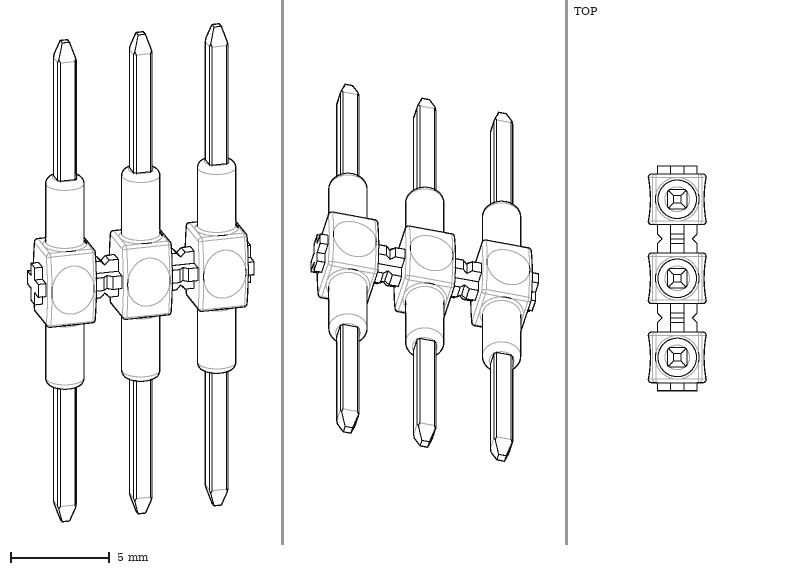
import cadquery as cq
import math

pin_count = 3
pitch = 4.0
strip_length = 11.4

pin_length = 26.0
pin_side = 1.0
pin_corner_diameter = 1.25
pin_tip_length = 0.95
pin_tip_side = 0.4

block_length = 2.57
block_height = 4.0
block_end_width = 2.45
block_width = 2.95
block_fillet = 0.18

scoop_half_width = 1.12
scoop_half_height = 1.3

barrel_diameter = 1.95
barrel_length = 11.25
barrel_end_fillet = (barrel_diameter - pin_corner_diameter) / 2
barrel_root_fillet = 0.13

cross_span = 2.0
cross_thickness = 0.7
notch_width = 0.47
notch_depth = 0.23

pin_places = [(i - (pin_count - 1) / 2) * pitch for i in range(pin_count)]
notch_places = [(a + b) / 2 for a, b in zip(pin_places, pin_places[1:])]


def arc_radius(half_chord, rise):
    """Radius of the arc with this half chord and rise."""
    return (half_chord**2 + rise**2) / (2 * rise)


def make_pin():
    """Pin centred on the Z axis, tapered at both ends."""
    shank_length = pin_length - 2 * pin_tip_length
    square_pin = cq.Workplane("XY").box(pin_side, pin_side, shank_length)
    for direction in (1, -1):
        tip = (
            cq.Workplane("XY", origin=(0, 0, direction * shank_length / 2))
            .rect(pin_side, pin_side)
            .workplane(offset=direction * pin_tip_length)
            .rect(pin_tip_side, pin_tip_side)
            .loft(ruled=True)
        )
        square_pin = square_pin.union(tip)
    round_bar = cq.Workplane("XY").cylinder(pin_length, pin_corner_diameter / 2)
    return square_pin.intersect(round_bar)


def make_block():
    """Block with rounded edges, bulged and scooped on its -X and +X faces."""
    half_height = block_height / 2
    end_x = block_end_width / 2
    middle_x = block_width / 2
    block = (
        cq.Workplane("XZ", origin=(0, block_length / 2, 0))
        .moveTo(-end_x, half_height)
        .lineTo(end_x, half_height)
        .threePointArc((middle_x, 0), (end_x, -half_height))
        .lineTo(-end_x, -half_height)
        .threePointArc((-middle_x, 0), (-end_x, half_height))
        .close()
        .extrude(block_length)
        .edges()
        .fillet(block_fillet)
    )
    bulge_radius = arc_radius(half_height, middle_x - end_x)
    scoop_depth = bulge_radius - math.sqrt(bulge_radius**2 - scoop_half_height**2)
    scoop_radius = arc_radius(scoop_half_width, scoop_depth)
    scoop_x = middle_x - scoop_depth + scoop_radius
    scoops = (
        cq.Workplane("XY")
        .pushPoints([(-scoop_x, 0), (scoop_x, 0)])
        .circle(scoop_radius)
        .extrude(half_height, both=True)
    )
    return block.cut(scoops)


def make_barrel():
    """Barrel through the block, rounded at its ends and flared where it leaves the block."""
    radius = barrel_diameter / 2
    half_length = barrel_length / 2
    root_z = block_height / 2
    root = barrel_root_fillet
    end = barrel_end_fillet
    middle = 1 - math.sqrt(0.5)
    upper_half = (
        cq.Workplane("XZ")
        .lineTo(radius + root, 0)
        .lineTo(radius + root, root_z)
        .threePointArc(
            (radius + root * middle, root_z + root * middle),
            (radius, root_z + root),
        )
        .lineTo(radius, half_length - end)
        .threePointArc(
            (radius - end * middle, half_length - end * middle),
            (radius - end, half_length),
        )
        .lineTo(0, half_length)
        .close()
        .revolve(360, (0, 0, 0), (0, 1, 0))
    )
    return upper_half.union(upper_half.mirror("XY"))


def make_cross_bar():
    """Cross-section bar along Y, notched on all four arms midway between the blocks."""
    bar = cq.Workplane("XY").box(cross_span, strip_length, cross_thickness)
    bar = bar.union(cq.Workplane("XY").box(cross_thickness, strip_length, cross_span))
    edge = cross_span / 2
    for y in notch_places:
        notch = (
            cq.Workplane("XY")
            .polyline([
                (edge, y - notch_width / 2),
                (edge, y + notch_width / 2),
                (edge - notch_depth, y),
            ])
            .close()
            .extrude(cross_thickness, both=True)
        )
        for angle in (0, 90, 180, 270):
            bar = bar.cut(notch.rotate((0, 0, 0), (0, 1, 0), angle))
    return bar


def make_housing(pins):
    """Blocks, barrels and cross bar as one body, with a fitting hole for each pin."""
    station = make_block().union(make_barrel())
    housing = make_cross_bar()
    for y in pin_places:
        housing = housing.union(station.translate((0, y, 0)))
    for pin in pins:
        housing = housing.cut(pin)
    return housing


pins = [make_pin().translate((0, y, 0)) for y in pin_places]
housing = make_housing(pins)

result = cq.Compound.makeCompound([housing.val(), *[pin.val() for pin in pins]])